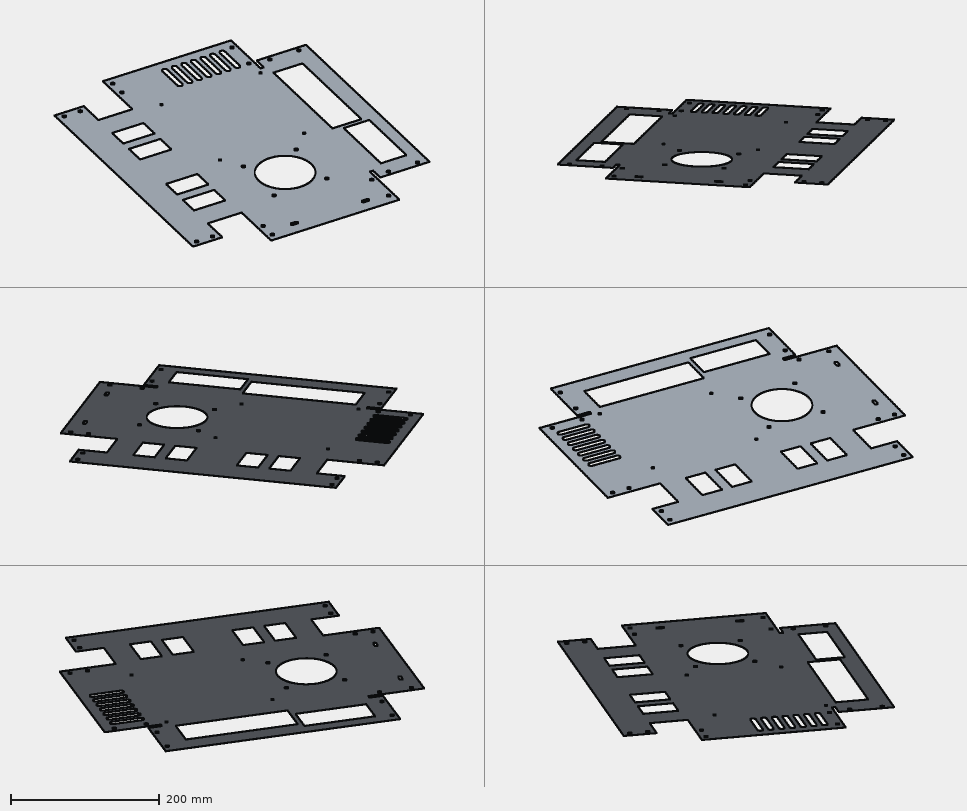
import cadquery as cq

thickness = 0.75
length = 453.0
height = 381.0

neck_width = 294.0
top_flap_width = 332.5
bottom_flap_width = 373.0
top_flap_height = 77.0
relief_slit = 5.0
body_height = 200.3
bottom_flap_height = 45.8

top_edge = height / 2
top_flap_base = top_edge - top_flap_height
body_top = top_flap_base - relief_slit
body_bottom = body_top - body_height
bottom_edge = -height / 2
bottom_flap_top = bottom_edge + bottom_flap_height

connector_window = (158.5, 45.5)
connector_center = (-50.0, 141.0)
socket_window = (100.0, 40.0)
socket_center = (86.5, 152.0)

switch_width = 30.0
switch_height = 49.0
switch_inner_x = 50.0
switch_outer_x = 95.0
switch_y = bottom_flap_top + switch_height / 2

fan_center = (91.0, 8.5)
fan_diameter = 82.0
fan_hole_spacing = 82.5

vent_count = 7
vent_length = 48.0
vent_width = 7.5
vent_pitch = 15.0
vent_x = -187.0
vent_middle_y = 39.0

hanger_length = 11.0
hanger_width = 4.5
hanger_x = 205.5
hanger_upper_y = 67.5
hanger_spacing = 111.0
upright = 90

board_hole_diameter = 3.5
board_left_x = -137.5
board_hole_span_x = 157.5
board_left_hole_span_y = 155.0
board_right_hole_span_y = 131.5
board_right_x = board_left_x + board_hole_span_x
board_bottom_y = -52.0
board_left_top_y = board_bottom_y + board_left_hole_span_y
board_right_top_y = board_bottom_y + board_right_hole_span_y

screw_hole_diameter = 5.0
top_flap_hole_x = 159.5
top_flap_hole_inset = 15.0
top_flap_hole_spacing = 45.5
body_top_hole_inset = 7.5
body_top_hole_outer_x = 210.5
body_top_hole_spacing = 45.5
body_bottom_hole_inset = 8.5
body_bottom_hole_outer_x = 214.8
bottom_flap_hole_x = 178.0
bottom_flap_hole_inset = 10.5
lower_hole_spacing = 25.0


def mirrored(points):
    """Return the points together with their mirror images across the YZ plane."""
    return points + [(-x, y) for x, y in points]


def make_outline():
    right_side = [
        (top_flap_width / 2, top_edge),
        (top_flap_width / 2, top_flap_base),
        (neck_width / 2, top_flap_base),
        (neck_width / 2, body_top),
        (length / 2, body_top),
        (length / 2, body_bottom),
        (neck_width / 2, body_bottom),
        (neck_width / 2, bottom_flap_top),
        (bottom_flap_width / 2, bottom_flap_top),
        (bottom_flap_width / 2, bottom_edge),
    ]
    left_side = [(-x, y) for x, y in reversed(right_side)]
    outline = cq.Workplane("XY").workplane(offset=-thickness / 2)
    return outline.polyline(right_side + left_side).close().extrude(thickness)


def cut_windows(plate, centers, width, window_height):
    return plate.pushPoints(centers).rect(width, window_height).cutThruAll()


def cut_holes(plate, centers, diameter):
    return plate.pushPoints(centers).circle(diameter / 2).cutThruAll()


def cut_slots(plate, centers, slot_length, slot_width, angle=0):
    return plate.pushPoints(centers).slot2D(slot_length, slot_width, angle).cutThruAll()


vent_centers = [
    (vent_x, vent_middle_y + (index - (vent_count - 1) / 2) * vent_pitch)
    for index in range(vent_count)
]

hanger_centers = [
    (hanger_x, hanger_upper_y),
    (hanger_x, hanger_upper_y - hanger_spacing),
]

fan_hole_centers = [
    (fan_center[0] + side_x * fan_hole_spacing / 2, fan_center[1] + side_y * fan_hole_spacing / 2)
    for side_x in (-1, 1)
    for side_y in (-1, 1)
]

board_hole_centers = [
    (board_left_x, board_left_top_y),
    (board_left_x, board_bottom_y),
    (board_right_x, board_right_top_y),
    (board_right_x, board_bottom_y),
]

top_flap_hole_y = top_edge - top_flap_hole_inset
body_top_hole_y = body_top - body_top_hole_inset
body_bottom_hole_y = body_bottom + body_bottom_hole_inset
bottom_flap_hole_y = bottom_edge + bottom_flap_hole_inset
screw_hole_centers = mirrored([
    (top_flap_hole_x, top_flap_hole_y),
    (top_flap_hole_x, top_flap_hole_y - top_flap_hole_spacing),
    (body_top_hole_outer_x, body_top_hole_y),
    (body_top_hole_outer_x - body_top_hole_spacing, body_top_hole_y),
    (body_bottom_hole_outer_x, body_bottom_hole_y),
    (body_bottom_hole_outer_x - lower_hole_spacing, body_bottom_hole_y),
    (bottom_flap_hole_x, bottom_flap_hole_y),
    (bottom_flap_hole_x, bottom_flap_hole_y + lower_hole_spacing),
])

switch_centers = mirrored([(switch_inner_x, switch_y), (switch_outer_x, switch_y)])

panel = make_outline()
panel = cut_windows(panel, [connector_center], *connector_window)
panel = cut_windows(panel, [socket_center], *socket_window)
panel = cut_windows(panel, switch_centers, switch_width, switch_height)
panel = cut_holes(panel, [fan_center], fan_diameter)
panel = cut_holes(panel, fan_hole_centers, screw_hole_diameter)
panel = cut_holes(panel, board_hole_centers, board_hole_diameter)
panel = cut_holes(panel, screw_hole_centers, screw_hole_diameter)
panel = cut_slots(panel, vent_centers, vent_length, vent_width)
panel = cut_slots(panel, hanger_centers, hanger_length, hanger_width, upright)

result = panel